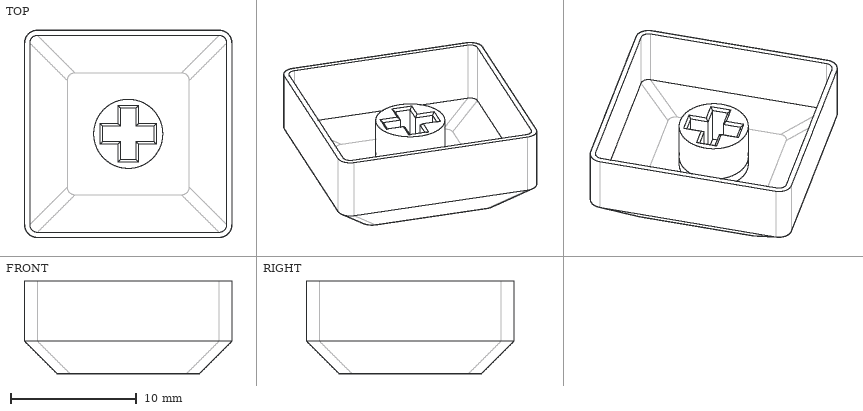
import cadquery as cq

cap_width = 16.5
cap_height = 7.4
taper_height = 2.6
taper_run = taper_height
outer_corner_radius = 1.03

wall_thickness = 0.42
floor_height = 1.8
floor_width = 9.7
inner_corner_radius = outer_corner_radius - wall_thickness
inner_width = cap_width - 2 * wall_thickness

stem_diameter = 5.5
stem_top = 5.8
cross_length = 4.1
cross_arm_width = 1.25
cross_chamfer = 0.2

stem_height = stem_top - taper_height


def rounded_square(width, radius, height):
    """Square with round corners, lying at the given height."""
    outline = cq.Sketch().rect(width, width).vertices().fillet(radius)
    return outline.moved(cq.Location(cq.Vector(0, 0, height)))


def tapered_block(bottom_width, top_width, radius, bottom, top):
    """Solid between two rounded squares that share one corner radius."""
    return cq.Workplane("XY").placeSketch(
        rounded_square(bottom_width, radius, bottom),
        rounded_square(top_width, radius, top),
    ).loft(ruled=True)


def straight_block(width, radius, bottom, top):
    """Upright solid with a rounded square outline."""
    return cq.Workplane("XY").placeSketch(rounded_square(width, radius, bottom)).extrude(top - bottom)


def make_base():
    """Tapered tray with a short round foot for the stem on its floor."""
    outside = tapered_block(cap_width - 2 * taper_run, cap_width, outer_corner_radius, 0, taper_height)
    recess = tapered_block(floor_width, inner_width, inner_corner_radius, floor_height, taper_height)
    foot = (
        cq.Workplane("XY", origin=(0, 0, floor_height))
        .circle(stem_diameter / 2)
        .extrude(taper_height - floor_height)
    )
    return outside.cut(recess).union(foot)


def make_wall():
    """Thin upright wall standing on the rim of the base."""
    outside = straight_block(cap_width, outer_corner_radius, taper_height, cap_height)
    inside = straight_block(inner_width, inner_corner_radius, taper_height, cap_height)
    return outside.cut(inside)


def make_stem():
    """Round stem on the foot, with a cross socket through it and a chamfered mouth."""
    arm_along_x = cq.Workplane("XY").box(cross_length, cross_arm_width, stem_height)
    arm_along_y = cq.Workplane("XY").box(cross_arm_width, cross_length, stem_height)
    socket = arm_along_x.union(arm_along_y).translate((0, 0, taper_height + stem_height / 2))
    stem = cq.Workplane("XY", origin=(0, 0, taper_height)).circle(stem_diameter / 2).extrude(stem_height)
    return stem.cut(socket).faces(">Z").edges("%LINE").chamfer(cross_chamfer)


base = make_base()
wall = make_wall()
stem = make_stem()

result = cq.Compound.makeCompound([base.val(), wall.val(), stem.val()])